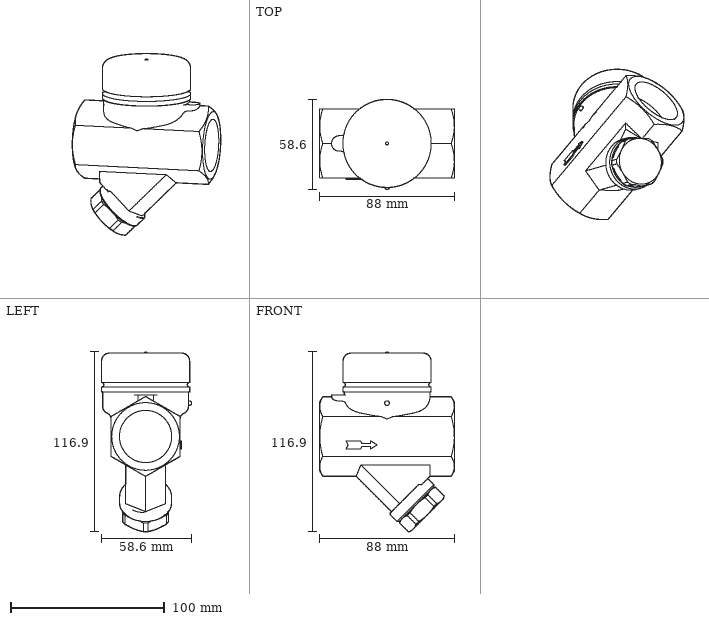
import cadquery as cq
import math


block_length = 88.0
block_flats = 45.0
block_face_diameter = 44.0
block_chamfer_angle = 30.0
port_diameter = 34.0
port_depth = 13.5
block_corner_radius = block_flats / math.sqrt(3)

rim_diameter = 57.5
bowl_diameter = 56.0
rim_radius = rim_diameter / 2
bowl_radius = bowl_diameter / 2
cover_top = 54.3
cover_edge_radius = 5.5
groove_top = 35.1
groove_bottom = 32.1
rim_bottom = 28.9
bowl_bend_top = 19.7
bowl_bend_radius = 5.0
neck_radius = block_flats / 2
neck_fillet_radius = 4.0

top_bump_radius = 1.0
top_bump_sink = 0.4
side_bump_radius = 1.5
side_bump_center_y = -28.4
side_bump_center_z = 21.7

tab_end_radius = 5.0
tab_end_x = -31.0
tab_fillet_radius = 3.0
tab_top = 27.0

arrow_tail_x = -26.6
arrow_length = 20.1
arrow_center_z = -5.5
arrow_half_width = 2.6
arrow_neck_half_width = 0.9
arrow_notch = 1.3
arrow_tail_length = 9.4
arrow_taper = 0.9
arrow_head_length = 4.2
arrow_height = 0.8

strainer_axis_x = -24.8
strainer_slope = 45.0
leg_flats = 26.0
leg_end = 55.6
leg_side_x = bowl_radius
boss_diameter = 34.0
boss_start = 54.2
boss_end = 62.3
boss_edge_radius = 1.0
plug_flats = 30.0
plug_length = 9.8
plug_corner_diameter = 33.0
plug_chamfer_angle = 30.0


def hexagon(across_flats):
    """Corner points of a hexagon with flats facing the first axis and corners on the second."""
    radius = across_flats / math.sqrt(3)
    angles = [math.radians(30 + 60 * i) for i in range(6)]
    return [(radius * math.cos(a), radius * math.sin(a)) for a in angles]


def double_cone_envelope(length, face_radius, outer_radius, angle):
    """Round bar along Z with both ends coned off, used to chamfer hexagon ends."""
    depth = (outer_radius - face_radius) * math.tan(math.radians(angle))
    return (
        cq.Workplane("XZ")
        .moveTo(0, 0)
        .lineTo(face_radius, 0)
        .lineTo(outer_radius, depth)
        .lineTo(outer_radius, length - depth)
        .lineTo(face_radius, length)
        .lineTo(0, length)
        .close()
        .revolve(360, (0, 0, 0), (0, 1, 0))
    )


def make_block():
    """Hexagonal bar along X with coned ends."""
    bar = cq.Workplane("XY").polyline(hexagon(block_flats)).close().extrude(block_length)
    envelope = double_cone_envelope(
        block_length, block_face_diameter / 2, block_corner_radius, block_chamfer_angle
    )
    plane = cq.Plane(origin=(-block_length / 2, 0, 0), xDir=(0, 1, 0), normal=(1, 0, 0))
    return cq.Workplane(bar.intersect(envelope).val().moved(plane.location))


def make_chamber():
    """Cover, weld groove, rim and bowl necking in, turned about Z down to the flow axis."""
    blend_radius = bowl_bend_radius + neck_fillet_radius
    blend = math.acos(1 - (bowl_radius - neck_radius) / blend_radius)
    neck_top = bowl_bend_top - blend_radius * math.sin(blend)

    def bowl_bend_point(angle):
        x = bowl_radius - bowl_bend_radius * (1 - math.cos(angle))
        return x, bowl_bend_top - bowl_bend_radius * math.sin(angle)

    def neck_fillet_point(angle):
        x = neck_radius + neck_fillet_radius * (1 - math.cos(angle))
        return x, neck_top + neck_fillet_radius * math.sin(angle)

    groove_radius = (groove_top - groove_bottom) / 2
    edge_center_x = rim_radius - cover_edge_radius
    edge_center_z = cover_top - cover_edge_radius
    edge_reach = cover_edge_radius * math.sqrt(0.5)
    return (
        cq.Workplane("XZ")
        .moveTo(0, 0)
        .lineTo(neck_radius, 0)
        .lineTo(neck_radius, neck_top)
        .threePointArc(neck_fillet_point(blend / 2), neck_fillet_point(blend))
        .threePointArc(bowl_bend_point(blend / 2), (bowl_radius, bowl_bend_top))
        .lineTo(bowl_radius, rim_bottom)
        .lineTo(rim_radius, rim_bottom)
        .lineTo(rim_radius, groove_bottom)
        .threePointArc(
            (rim_radius - groove_radius, groove_bottom + groove_radius), (rim_radius, groove_top)
        )
        .lineTo(rim_radius, edge_center_z)
        .threePointArc((edge_center_x + edge_reach, edge_center_z + edge_reach), (edge_center_x, cover_top))
        .lineTo(0, cover_top)
        .close()
        .revolve(360, (0, 0, 0), (0, 1, 0))
    )


def make_bumps():
    """Sunken ball on the cover top and round-nosed stub on the -Y side of the bowl."""
    top_bump = cq.Workplane("XY").sphere(top_bump_radius).translate((0, 0, cover_top - top_bump_sink))
    side_start = cq.Workplane("XZ", origin=(0, side_bump_center_y, side_bump_center_z))
    side_ball = side_start.sphere(side_bump_radius)
    side_stub = side_start.circle(side_bump_radius).extrude(-side_bump_radius)
    return top_bump, side_ball.union(side_stub)


def make_tab():
    """Round-ended tab that flares into the bowl through a concave fillet on each side."""
    fillet_y = tab_end_radius + tab_fillet_radius
    fillet_x = -math.sqrt((bowl_radius + tab_fillet_radius) ** 2 - fillet_y**2)
    bowl_share = bowl_radius / (bowl_radius + tab_fillet_radius)
    touch_x = fillet_x * bowl_share
    touch_y = fillet_y * bowl_share
    middle_angle = (math.atan2(-fillet_y, -fillet_x) - math.pi / 2) / 2
    middle_x = fillet_x + tab_fillet_radius * math.cos(middle_angle)
    middle_y = fillet_y + tab_fillet_radius * math.sin(middle_angle)
    return (
        cq.Workplane("XY")
        .moveTo(0, touch_y)
        .lineTo(touch_x, touch_y)
        .threePointArc((middle_x, middle_y), (fillet_x, tab_end_radius))
        .lineTo(tab_end_x, tab_end_radius)
        .threePointArc((tab_end_x - tab_end_radius, 0), (tab_end_x, -tab_end_radius))
        .lineTo(fillet_x, -tab_end_radius)
        .threePointArc((middle_x, -middle_y), (touch_x, -touch_y))
        .lineTo(0, -touch_y)
        .close()
        .extrude(tab_top)
    )


def make_arrow():
    """Flow arrow with a notched tail, pointing towards +X."""
    tail_end_x = arrow_tail_x + arrow_tail_length
    tip_x = arrow_tail_x + arrow_length
    head_x = tip_x - arrow_head_length
    upper = [
        (arrow_tail_x, arrow_half_width),
        (tail_end_x, arrow_half_width),
        (tail_end_x + arrow_taper, arrow_neck_half_width),
        (head_x, arrow_neck_half_width),
        (head_x, arrow_half_width),
    ]
    lower = [(x, -z) for x, z in reversed(upper)]
    outline = upper + [(tip_x, 0)] + lower + [(arrow_tail_x + arrow_notch, 0)]
    flat = cq.Workplane("XZ", origin=(0, -block_flats / 2, arrow_center_z))
    return flat.polyline(outline).close().extrude(arrow_height)


def strainer_plane(distance):
    """Plane across the strainer axis, at a distance along it from its crossing with the flow axis."""
    slope = math.radians(strainer_slope)
    origin = (strainer_axis_x + distance * math.cos(slope), 0, -distance * math.sin(slope))
    return cq.Plane(origin=origin, xDir=(0, 1, 0), normal=(math.cos(slope), 0, -math.sin(slope)))


def make_leg():
    """Leg with a V-shaped underside and straight flanks, cut off below the flow axis and at +X."""
    half_width = leg_flats / 2
    corner_drop = half_width / math.sqrt(3)
    top = block_flats
    outline = [
        (0, -2 * corner_drop),
        (half_width, -corner_drop),
        (half_width, top),
        (-half_width, top),
        (-half_width, -corner_drop),
    ]
    leg = cq.Workplane(strainer_plane(0)).polyline(outline).close().extrude(leg_end)
    keep = cq.Workplane("XY").box(
        leg_side_x + block_length / 2, leg_flats, 2 * leg_end, centered=(False, True, False)
    )
    return leg.intersect(keep.translate((-block_length / 2, 0, -2 * leg_end)))


def make_boss():
    """Round boss on the leg end, rounded towards the leg and chamfered towards the plug."""
    boss = cq.Workplane("XY").circle(boss_diameter / 2).extrude(boss_end - boss_start)
    boss = boss.faces("<Z").edges().fillet(boss_edge_radius)
    boss = boss.faces(">Z").edges().chamfer(boss_edge_radius)
    return cq.Workplane(boss.val().moved(strainer_plane(boss_start).location))


def make_ports():
    """Blind round ports in both ends of the block."""
    left = cq.Workplane("YZ", origin=(-block_length / 2, 0, 0)).circle(port_diameter / 2).extrude(port_depth)
    return left, left.mirror("YZ")


def make_housing():
    """Block, chamber and strainer leg with its boss as one solid, with the ports cut last."""
    housing = make_block().union(make_chamber()).union(make_tab()).union(make_arrow())
    for bump in make_bumps():
        housing = housing.union(bump)
    housing = housing.union(make_leg()).union(make_boss())
    for port in make_ports():
        housing = housing.cut(port)
    return housing


def make_plug():
    """Hexagonal strainer plug seated on the boss, with turned corners and coned ends."""
    plug = cq.Workplane("XY").polyline(hexagon(plug_flats)).close().extrude(plug_length)
    envelope = double_cone_envelope(
        plug_length, plug_flats / 2, plug_corner_diameter / 2, plug_chamfer_angle
    )
    return cq.Workplane(plug.intersect(envelope).val().moved(strainer_plane(boss_end).location))


housing = make_housing()
plug = make_plug()

result = cq.Compound.makeCompound([housing.val(), plug.val()])